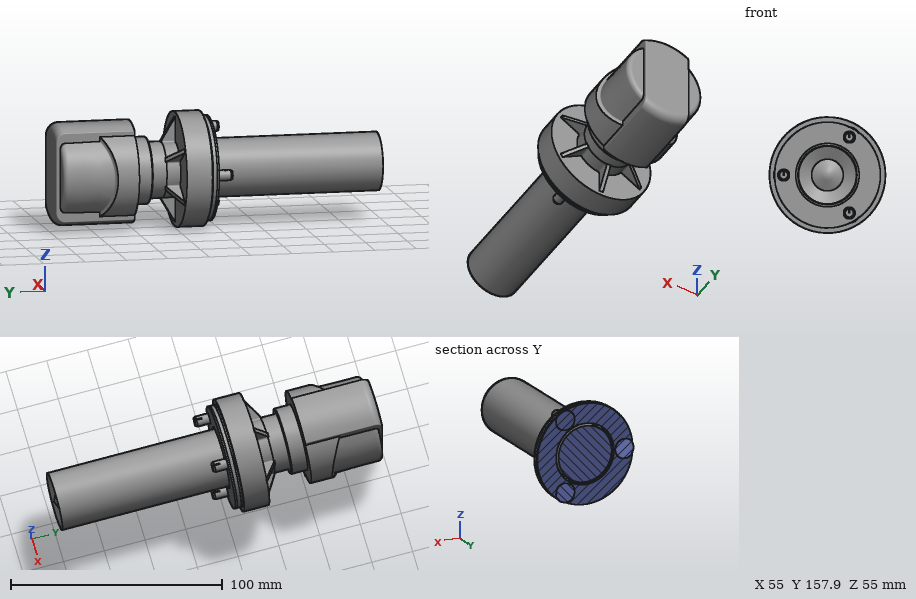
import cadquery as cq
import math


total_length = 157.9
shaft_end_y = 0.3
flange_bottom_y = 85.7
flange_top_y = 98.0
neck_bottom_y = 105.2
collar_bottom_y = 112.0
knob_bottom_y = 120.0

shaft_diameter = 28.0
dish_rim_diameter = 27.3
dish_floor_diameter = 15.0
dish_depth = 3.5

ring_diameter = 50.0
ring_bore_diameter = 30.0
washer_thickness = 1.0
gasket_thickness = 1.9
upper_washer_y = flange_bottom_y - washer_thickness
gasket_y = upper_washer_y - gasket_thickness
lower_washer_y = gasket_y - washer_thickness

pin_count = 3
pin_circle_radius = 20.7
pin_diameter = 5.0
pin_tip_diameter = 4.0
pin_tip_length = 1.0
pin_hole_diameter = 5.5
pin_head_diameter = 9.5
pin_head_thickness = 0.5
pin_head_y = flange_bottom_y - pin_head_thickness
pin_end_y = 74.8
pin_slot_width = 0.5
pin_slot_length = 3.5

flange_diameter = 55.0
neck_diameter = 27.0
collar_diameter = 32.0
collar_chamfer = 0.5
neck_fillet = 0.5
hub_diameter = 26.7
hub_taper_length = 0.5
rib_count = 6
rib_first_angle = 30.0
rib_thickness = 2.0
rib_foot_radius = 25.3
rib_fillet = 0.8

grip_radius = 24.5
grip_width = 24.0
grip_fillet = 4.3
grip_edge_fillet = 0.5
knob_radius = 22.6
scoop_top_radius = 20.5
scoop_bottom_radius = 21.0
scoop_top_y = 156.0
scoop_fillet = 2.4
scoop_edge_y = 130.3
scoop_slope_angle = 32.0
scoop_corner_fillet = 0.5

edge_margin = 0.2


def cylinder(diameter, bottom_y, height, x=0.0, z=0.0):
    """Cylinder along +Y that starts at bottom_y."""
    disc = cq.Workplane("XZ", origin=(x, bottom_y, z)).circle(diameter / 2)
    return disc.extrude(-height)


def revolve_about_y(profile):
    """Solid of revolution of an outline given as (radius, y) points."""
    return cq.Workplane("XY").polyline(profile).close().revolve(360, (0, 0, 0), (0, 1, 0))


def pin_places():
    """X and Z of each pin, the first one on the -X side."""
    places = []
    for i in range(pin_count):
        angle = math.pi + i * 2 * math.pi / pin_count
        places.append((pin_circle_radius * math.cos(angle), pin_circle_radius * math.sin(angle)))
    return places


def make_knob():
    """Knob with a wide grip bar across it and a scooped core above a sloping skirt on each side."""
    grip_height = total_length - knob_bottom_y
    grip = cylinder(2 * grip_radius, knob_bottom_y, grip_height).faces(">Y").edges().fillet(grip_fillet)
    slab = cq.Workplane("XY").box(grip_width, 2 * total_length, 2 * grip_radius)
    grip = grip.intersect(slab)
    grip = grip.edges("|Y").fillet(grip_edge_fillet)

    core_profile = [
        (0, knob_bottom_y),
        (scoop_bottom_radius, knob_bottom_y),
        (scoop_top_radius, scoop_top_y),
        (0, scoop_top_y),
    ]
    core = revolve_about_y(core_profile).rotate((0, 0, 0), (0, 1, 0), 90)
    core = core.faces(">Y").edges().fillet(scoop_fillet)

    slope = math.tan(math.radians(scoop_slope_angle))
    skirt_profile = [
        (-knob_radius, knob_bottom_y),
        (knob_radius, knob_bottom_y),
        (knob_radius, scoop_edge_y),
        (0, scoop_edge_y + knob_radius * slope),
        (-knob_radius, scoop_edge_y),
    ]
    roof = cq.Workplane("XY").polyline(skirt_profile).close().extrude(knob_radius, both=True)
    skirt = cylinder(2 * knob_radius, knob_bottom_y, grip_height).intersect(roof)
    knob = core.union(skirt).union(grip)

    core_radius = (scoop_top_radius + scoop_bottom_radius) / 2
    half_angle = math.acos(grip_width / 2 / core_radius)
    corner_x = core_radius * math.sin(half_angle) / half_angle
    corner_y = scoop_edge_y + (knob_radius - corner_x) * slope
    for side in (-1, 1):
        nearest = cq.selectors.NearestToPointSelector((side * corner_x, corner_y, 0))
        knob = knob.edges(nearest).fillet(scoop_corner_fillet)
    return knob


def make_rib():
    """Rib on the +X side, sloping from the neck down to the flange, with filleted inner corners."""
    neck_radius = neck_diameter / 2
    profile = [
        (0, flange_top_y),
        (rib_foot_radius, flange_top_y),
        (neck_radius, neck_bottom_y),
        (0, neck_bottom_y),
    ]
    return cq.Workplane("XY").polyline(profile).close().extrude(rib_thickness / 2, both=True)


def make_base():
    """Flange, ribbed hub, neck and collar in one piece."""
    hub_top_y = neck_bottom_y - hub_taper_length
    hub = cylinder(hub_diameter, flange_top_y, hub_top_y - flange_top_y)
    for i in range(rib_count):
        angle = rib_first_angle + i * 360 / rib_count
        hub = hub.union(make_rib().rotate((0, 0, 0), (0, 1, 0), angle))
    reach = hub_diameter / 2
    corner_zone = cq.selectors.BoxSelector((-reach, flange_top_y, -reach), (reach, hub_top_y, reach))
    hub = hub.edges("|Y").edges(corner_zone).fillet(rib_fillet)

    neck = cylinder(neck_diameter, hub_top_y, collar_bottom_y - hub_top_y)
    taper_depth = (neck_diameter - hub_diameter) / 2
    neck = neck.faces("<Y").edges().chamfer(hub_taper_length, taper_depth)

    collar = cylinder(collar_diameter, collar_bottom_y, knob_bottom_y - collar_bottom_y)
    collar = collar.faces("<Y").edges().chamfer(collar_chamfer)
    flange = cylinder(flange_diameter, flange_bottom_y, flange_top_y - flange_bottom_y)
    stem = neck.union(collar)
    reach = neck_diameter / 2 + edge_margin
    neck_corner = cq.selectors.BoxSelector(
        (-reach, collar_bottom_y - edge_margin, -reach),
        (reach, collar_bottom_y + edge_margin, reach),
        boundingbox=True,
    )
    stem = stem.edges(neck_corner).fillet(neck_fillet)
    return flange.union(hub).union(stem)


def make_ring(bottom_y, thickness):
    """Flat ring with a clearance hole for each pin."""
    ring = cylinder(ring_diameter, bottom_y, thickness)
    ring = ring.cut(cylinder(ring_bore_diameter, bottom_y, thickness))
    for x, z in pin_places():
        ring = ring.cut(cylinder(pin_hole_diameter, bottom_y, thickness, x, z))
    return ring


def make_upper_washer():
    """Washer against the flange, with recesses for the pin heads that break through its rim."""
    washer = make_ring(upper_washer_y, washer_thickness)
    for x, z in pin_places():
        washer = washer.cut(cylinder(pin_head_diameter, pin_head_y, pin_head_thickness, x, z))
    return washer


def make_pin(x, z):
    """Slotted pin with a tapered tip and a flat head that lies against the flange."""
    chamfer_width = (pin_diameter - pin_tip_diameter) / 2
    stem = cylinder(pin_diameter, pin_end_y, pin_head_y - pin_end_y, x, z)
    stem = stem.faces("<Y").edges().chamfer(pin_tip_length, chamfer_width)
    slot = cq.Workplane("XY").box(
        pin_slot_width, pin_slot_length, pin_diameter, centered=(True, False, False)
    )
    stem = stem.cut(slot.translate((x, pin_end_y, z)))
    return stem.union(cylinder(pin_head_diameter, pin_head_y, pin_head_thickness, x, z))


def make_shaft():
    """Round shaft whose end is a dish with a cone rising from its floor."""
    profile = [
        (0, 0),
        (dish_floor_diameter / 2, dish_depth),
        (dish_rim_diameter / 2, shaft_end_y),
        (shaft_diameter / 2, shaft_end_y),
        (shaft_diameter / 2, flange_bottom_y),
        (0, flange_bottom_y),
    ]
    return revolve_about_y(profile)


knob = make_knob()
base = make_base()
upper_washer = make_upper_washer()
gasket = make_ring(gasket_y, gasket_thickness)
lower_washer = make_ring(lower_washer_y, washer_thickness)
shaft = make_shaft()
pins = [make_pin(x, z).val() for x, z in pin_places()]

result = cq.Compound.makeCompound(
    [knob.val(), base.val(), upper_washer.val(), gasket.val(), lower_washer.val(), shaft.val(), *pins]
)